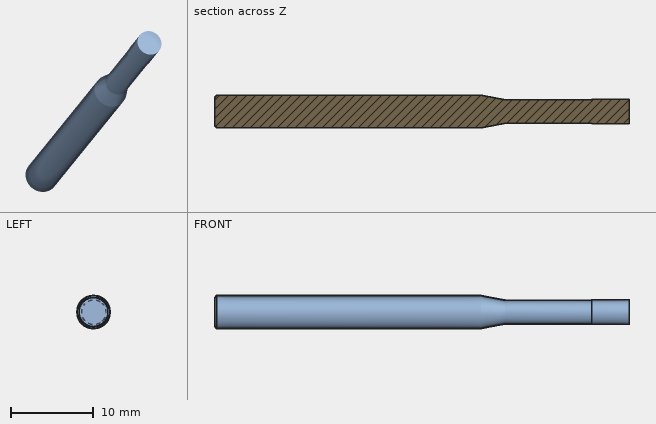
import cadquery as cq

overall_length = 50.0
shank_diameter = 4.0
shank_chamfer = 0.25
tip_diameter = 3.0
tip_length = 4.5
neck_diameter = 2.9
reach = 15.0
taper_length = 2.9

shank_radius = shank_diameter / 2
neck_radius = neck_diameter / 2
tip_radius = tip_diameter / 2
neck_start = overall_length - reach
taper_start = neck_start - taper_length
tip_start = overall_length - tip_length


def turned_body():
    """Revolve the half profile of the shank, taper, neck and tip about X."""
    profile = (
        cq.Workplane("XY")
        .moveTo(0, 0)
        .lineTo(0, shank_radius - shank_chamfer)
        .lineTo(shank_chamfer, shank_radius)
        .lineTo(taper_start, shank_radius)
        .lineTo(neck_start, neck_radius)
        .lineTo(tip_start, neck_radius)
        .lineTo(tip_start, tip_radius)
        .lineTo(overall_length, tip_radius)
        .lineTo(overall_length, 0)
        .close()
    )
    return profile.revolve(360, (0, 0, 0), (1, 0, 0))


result = turned_body()